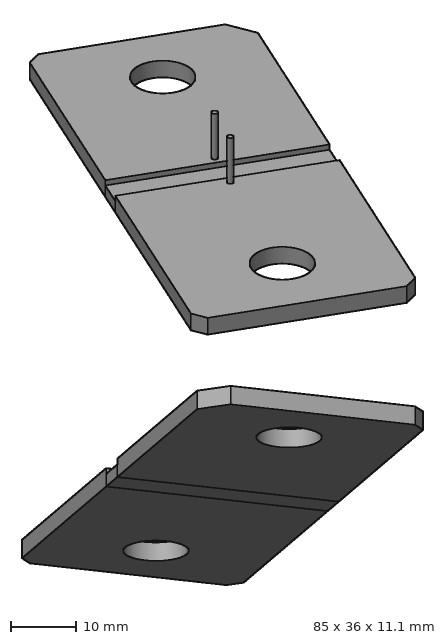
import cadquery as cq

length = 85.0
width = 36.0
strip_length = 5.0
plate_thickness = 3.0
strip_thickness = 2.0

hole_diameter = 10.0
hole_offset = 30.0
corner_cut = 2.0
large_corner_cut = 4.0

total_height = 11.05
pin_height = total_height - plate_thickness
pin_diameter = 1.0
pin_offset = 3.9


def make_plate(side, back_cut):
    """Terminal plate on the -X (side = -1) or +X (side = 1) end of the bar."""
    inner_x = side * strip_length / 2
    outer_x = side * length / 2
    half_width = width / 2
    plate = (
        cq.Workplane("XY")
        .moveTo(inner_x, -half_width)
        .lineTo(outer_x - side * corner_cut, -half_width)
        .lineTo(outer_x, -half_width + corner_cut)
        .lineTo(outer_x, half_width - back_cut)
        .lineTo(outer_x - side * back_cut, half_width)
        .lineTo(inner_x, half_width)
        .close()
        .extrude(plate_thickness)
    )
    bolt_hole = (
        cq.Workplane("XY")
        .center(side * hole_offset, 0)
        .circle(hole_diameter / 2)
        .extrude(plate_thickness)
    )
    return plate.cut(bolt_hole)


def make_strip():
    """Resistive strip between the plates, flush with their undersides."""
    return cq.Workplane("XY").box(strip_length, width, strip_thickness, centered=(True, True, False))


def make_pin(side):
    """Round sense pin standing on the top face of one plate."""
    return (
        cq.Workplane("XY", origin=(side * pin_offset, 0, plate_thickness))
        .circle(pin_diameter / 2)
        .extrude(pin_height)
    )


plates = [make_plate(side, cut) for side, cut in ((-1, large_corner_cut), (1, corner_cut))]
strip = make_strip()
pins = [make_pin(side) for side in (-1, 1)]

result = cq.Compound.makeCompound([body.val() for body in [*plates, strip, *pins]])